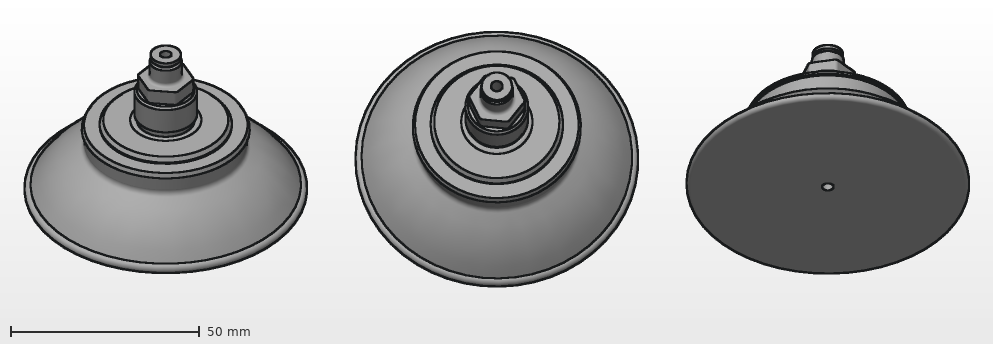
import cadquery as cq
import math

rim_top = 2.5
dome_top = 14.5
waist_level = 15.45
wall_bottom = 16.3
flange_bottom = 20.55
flange_top = 21.9
disc_bevel_bottom = 22.3
disc_top = 23.55
neck_top = 25.5
coupling_top = 33.45
hex_top = 37.6
collar_top = 42.75
ring_bottom = 43.8
overall_height = 45.0

rim_radius = 37.5
rim_edge_height = 1.1
rim_shoulder_radius = 36.15
dome_bottom_radius = 35.85
dome_top_radius = 22.5
dome_bulge = 1.2
waist_radius = 21.7
wall_radius = 21.6
flange_bottom_radius = 22.3
flange_top_radius = 21.7
disc_radius = 17.55
disc_top_radius = 16.6
lip_radius = 9.45
lip_height = 0.2

neck_radius = 7.65
coupling_radius = 8.3
coupling_chamfer = 0.7
hex_across_flats = 13.05
hex_corner_radius = 1.05
collar_radius = 4.3
collar_fillet = 1.0
groove_radius = 2.9
ring_radius = 4.05

bore_radius = 1.5


def air_passage():
    return cq.Workplane("XY").circle(bore_radius).extrude(overall_height)


def make_cup():
    """Solid of revolution: domed skirt, rounded rim, flange, disc and a low rounded lip."""
    dome_run = dome_bottom_radius - dome_top_radius
    dome_rise = dome_top - rim_top
    dome_chord = math.hypot(dome_run, dome_rise)
    dome_middle = (
        (dome_bottom_radius + dome_top_radius) / 2 + dome_bulge * dome_rise / dome_chord,
        (dome_top + rim_top) / 2 + dome_bulge * dome_run / dome_chord,
    )
    lip_top = disc_top + lip_height
    profile = (
        cq.Workplane("XZ")
        .lineTo(rim_radius - rim_edge_height, 0)
        .tangentArcPoint((rim_radius, rim_edge_height), relative=False)
        .tangentArcPoint((rim_shoulder_radius, rim_top), relative=False)
        .lineTo(dome_bottom_radius, rim_top)
        .threePointArc(dome_middle, (dome_top_radius, dome_top))
        .threePointArc((waist_radius, waist_level), (wall_radius, wall_bottom))
        .lineTo(wall_radius, flange_bottom)
        .lineTo(flange_bottom_radius, flange_bottom)
        .lineTo(flange_top_radius, flange_top)
        .lineTo(disc_radius, flange_top)
        .lineTo(disc_radius, disc_bevel_bottom)
        .lineTo(disc_top_radius, disc_top)
        .lineTo(lip_radius, disc_top)
        .threePointArc(((lip_radius + neck_radius) / 2, lip_top), (neck_radius, disc_top))
        .lineTo(0, disc_top)
        .close()
    )
    return profile.revolve(360, (0, 0), (0, 1)).cut(air_passage())


def make_coupling():
    """Round base of the fitting: neck and chamfered coupling."""
    neck = (
        cq.Workplane("XY", origin=(0, 0, disc_top))
        .circle(neck_radius)
        .extrude(neck_top - disc_top)
    )
    coupling = (
        cq.Workplane("XY", origin=(0, 0, neck_top))
        .circle(coupling_radius)
        .extrude(coupling_top - neck_top)
        .faces(">Z")
        .chamfer(coupling_chamfer)
    )
    return neck.union(coupling)


def make_hexagon():
    """Spanner hexagon with two flats square to X and rounded corners."""
    return (
        cq.Workplane("XY", origin=(0, 0, coupling_top))
        .polygon(6, hex_across_flats, circumscribed=True)
        .extrude(hex_top - coupling_top)
        .edges("|Z")
        .fillet(hex_corner_radius)
    )


def make_tube_socket():
    """Flared collar, release groove and release ring above the hexagon."""
    fillet_centre_radius = collar_radius + collar_fillet
    fillet_centre_level = hex_top + collar_fillet
    arc_offset = collar_fillet * math.sqrt(0.5)
    return (
        cq.Workplane("XZ")
        .moveTo(0, hex_top)
        .lineTo(fillet_centre_radius, hex_top)
        .threePointArc((fillet_centre_radius - arc_offset, fillet_centre_level - arc_offset),
                       (collar_radius, fillet_centre_level))
        .lineTo(collar_radius, collar_top)
        .lineTo(groove_radius, collar_top)
        .lineTo(groove_radius, ring_bottom)
        .lineTo(ring_radius, ring_bottom)
        .lineTo(ring_radius, overall_height)
        .lineTo(0, overall_height)
        .close()
        .revolve(360, (0, 0), (0, 1))
    )


def make_fitting():
    return make_coupling().union(make_hexagon()).union(make_tube_socket()).cut(air_passage())


cup = make_cup()
fitting = make_fitting()
result = cq.Compound.makeCompound([cup.val(), fitting.val()])